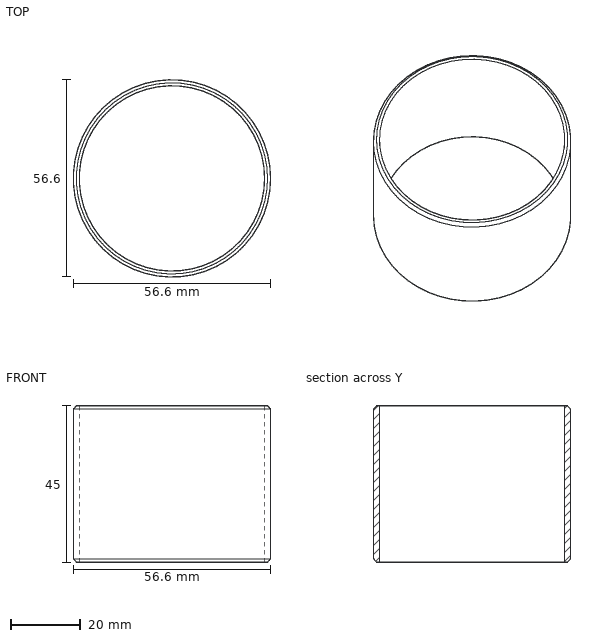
import cadquery as cq

outer_diameter = 56.65
bore_diameter = 53.1
length = 45.0

bevel_height = 1.0
bevel_depth = 0.9

outer_radius = outer_diameter / 2
bore_radius = bore_diameter / 2
bevel_radius = outer_radius - bevel_depth

wall_section = (
    cq.Workplane("XZ")
    .moveTo(bore_radius, 0)
    .lineTo(bevel_radius, 0)
    .lineTo(outer_radius, bevel_height)
    .lineTo(outer_radius, length - bevel_height)
    .lineTo(bevel_radius, length)
    .lineTo(bore_radius, length)
    .close()
)

result = wall_section.revolve(360, (0, 0, 0), (0, 1, 0))